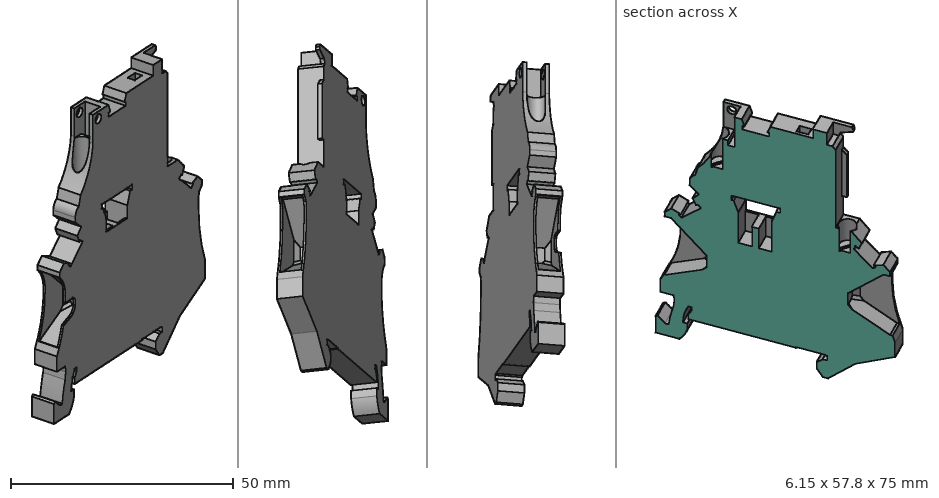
import cadquery as cq

WIDTH = 6.15
HEIGHT = 75.0
LENGTH = 57.8
HALF_WIDTH = WIDTH / 2

BASE_CENTER_Y = 29.4
BASE_TOP_Z = 46.8
RAIL_FACE_Z = 6.75
WINDOW_FLOOR_Z = 40.3
WINDOW_Y_MIN = 20.0
WINDOW_Y_MAX = 28.05
SIDE_WALL = 0.5
CAVITY_WIDTH = WIDTH - 2 * SIDE_WALL
PIT_DEPTH = 6.0
RIB_Y_MIN = 23.25
RIB_Y_MAX = 25.0

LEVER_TOP_Z = 72.3
LEVER_FRONT_Y = 14.9
LEVER_BACK_Y = 43.5
LATCH_BLOCK_Y = 37.95
LATCH_PLATE = 1.0
HINGE_Y = 10.7
HINGE_Z = 49.1
HINGE_RADIUS = 2.55

WELL_RADIUS = 2.1
SCREW_SLOT_WIDTH = 0.7
SCREW_SLOT_DEPTH = 0.4
SCREW_SLOT_ANGLE = -45
LEVER_WELL_Y = 14.85
LEVER_WELL_FLOOR_Z = 55.5
BASE_WELL_Y = 45.7

EAR_POINTS = [
    (18.0, BASE_TOP_Z), (20.5, 44.1), (19.65, 42.15), (19.3, 42.45), (18.45, 41.8), (23.1, 37.35),
    (23.8, 38.1), (23.25, 38.3), (25.6, 39.3), (27.2, 37.65), (27.2, 36.4), (26.2, 35.1),
]


def side_plane():
    """Workplane whose local axes are Y and Z."""
    return cq.Workplane("YZ")


def plate(outline, width=WIDTH):
    """Closed side outline extruded symmetrically about the middle of the thickness."""
    return outline.close().extrude(width / 2, both=True)


def block(x_range, y_range, z_range):
    """Box between the given limits."""
    (x0, x1), (y0, y1), (z0, z1) = x_range, y_range, z_range
    return cq.Workplane("XY").box(x1 - x0, y1 - y0, z1 - z0, centered=False).translate((x0, y0, z0))


def base_body():
    far_ear = [(BASE_CENTER_Y + d, z) for d, z in EAR_POINTS]
    near_ear = [(BASE_CENTER_Y - d, z) for d, z in reversed(EAR_POINTS)]
    outline = (
        side_plane().polyline(far_ear)
        .lineTo(55.3, 34.05)
        .lineTo(55.3, 30.75)
        .threePointArc((56.1, 23.1), (LENGTH, 16.65))
        .lineTo(LENGTH, 12.0)
        .lineTo(48.2, 6.7)
        .lineTo(41.6, 0)
        .lineTo(40.35, 0)
        .lineTo(38.85, 2.2)
        .lineTo(38.85, 4.1)
        .lineTo(40.35, 5.55)
        .lineTo(41.3, 5.55)
        .lineTo(41.3, RAIL_FACE_Z)
        .lineTo(40.7, 7.0)
        .lineTo(33.9, 7.0)
        .lineTo(33.9, RAIL_FACE_Z)
        .lineTo(7.9, RAIL_FACE_Z)
        .lineTo(7.9, 8.3)
        .lineTo(8.7, 9.75)
        .lineTo(8.7, 10.65)
        .lineTo(7.95, 10.65)
        .threePointArc((7.05, 8.3), (6.7, 5.5))
        .lineTo(7.7, 5.5)
        .lineTo(7.7, 3.7)
        .threePointArc((7.0, 1.65), (5.8, 0))
        .lineTo(0, 0)
        .lineTo(0, 5.1)
        .lineTo(0.5, 5.5)
        .lineTo(2.3, 3.8)
        .threePointArc((2.8, 3.7), (3.15, 3.8))
        .threePointArc((3.6, 6.6), (4.3, 9.45))
        .lineTo(4.5, 11.4)
        .lineTo(4.35, 12.8)
        .lineTo(1.1, 12.8)
        .lineTo(1.1, 16.7)
        .threePointArc((3.7, 23.6), (4.35, 30.75))
        .threePointArc((4.05, 33.2), near_ear[0])
        .polyline(near_ear, includeCurrent=False)
        .lineTo(18.9, BASE_TOP_Z)
        .lineTo(WINDOW_Y_MIN, 43.6)
        .lineTo(WINDOW_Y_MIN, WINDOW_FLOOR_Z)
        .lineTo(WINDOW_Y_MAX, WINDOW_FLOOR_Z)
        .lineTo(WINDOW_Y_MAX, 43.6)
        .lineTo(29.1, BASE_TOP_Z)
    )
    return plate(outline)


def window_pits():
    """Two pits in the window floor, separated by a rib."""
    x_range = (-CAVITY_WIDTH / 2, CAVITY_WIDTH / 2)
    z_range = (WINDOW_FLOOR_Z - PIT_DEPTH, WINDOW_FLOOR_Z)
    near_pit = block(x_range, (WINDOW_Y_MIN, RIB_Y_MIN), z_range)
    far_pit = block(x_range, (RIB_Y_MAX, WINDOW_Y_MAX), z_range)
    return near_pit.union(far_pit)


def wire_funnel():
    """Wire entry in the near flank: sloped roof and floor, and side walls closing in at the end."""
    end_y = 12.5
    taper_y = end_y - 1.4
    end_half_width = 1.5
    cavity_half = CAVITY_WIDTH / 2
    mouth_y = -0.75
    corner_bevel = 0.6
    wedge = plate(
        side_plane().polyline([
            (mouth_y, 36.2), (3.75, 36.2), (end_y, 27.45), (end_y, 23.8), (2.2, 18.45), (mouth_y, 18.45),
        ]),
        CAVITY_WIDTH,
    )
    plan = (
        cq.Workplane("XY")
        .polyline([
            (-cavity_half, mouth_y), (cavity_half, mouth_y), (cavity_half, taper_y),
            (end_half_width, end_y), (-end_half_width, end_y), (-cavity_half, taper_y),
        ])
        .close()
        .extrude(BASE_TOP_Z)
    )
    funnel = wedge.intersect(plan)
    corner_zone = cq.selectors.BoxSelector(
        (-cavity_half, taper_y, 22.5), (cavity_half, end_y, 24.0), boundingbox=False
    )
    return funnel.edges(corner_zone).chamfer(corner_bevel)


def flank_notch():
    """Notch in the edge of the +X side wall beside the near wire funnel."""
    notch = (
        side_plane().workplane(offset=CAVITY_WIDTH / 2)
        .moveTo(0, 28.95)
        .lineTo(7.5, 28.95)
        .lineTo(8.1, 28.35)
        .lineTo(8.1, 26.55)
        .threePointArc((7.35, 25.1), (6.1, 24.4))
        .lineTo(3.5, 23.4)
        .lineTo(0, 23.4)
        .close()
    )
    return notch.extrude(SIDE_WALL)


def hinge_knuckle():
    knuckle = side_plane().center(HINGE_Y, HINGE_Z).circle(HINGE_RADIUS).extrude(HALF_WIDTH, both=True)
    front_y = HINGE_Y - HINGE_RADIUS
    heel_back_y = 12.0
    heel = plate(side_plane().polyline([
        (heel_back_y, HINGE_Z), (front_y, HINGE_Z), (front_y, 47.75), (10.4, 45.75), (heel_back_y, 45.75),
    ]))
    return knuckle.union(heel)


def lever_body():
    outline = (
        side_plane().moveTo(HINGE_Y, BASE_TOP_Z)
        .lineTo(18.4, BASE_TOP_Z)
        .lineTo(18.4, 48.0)
        .lineTo(30.0, 48.0)
        .lineTo(30.0, BASE_TOP_Z)
        .lineTo(LEVER_BACK_Y, BASE_TOP_Z)
        .lineTo(LEVER_BACK_Y, 53.15)
        .lineTo(44.7, 53.15)
        .lineTo(44.7, 66.05)
        .lineTo(LEVER_BACK_Y, 67.3)
        .lineTo(LEVER_BACK_Y, 70.5)
        .lineTo(42.75, 71.4)
        .lineTo(43.3, 72.4)
        .lineTo(46.2, 73.6)
        .lineTo(46.2, 74.3)
        .lineTo(45.9, HEIGHT)
        .lineTo(LATCH_BLOCK_Y, HEIGHT)
        .lineTo(LATCH_BLOCK_Y, LEVER_TOP_Z)
        .lineTo(27.7, LEVER_TOP_Z)
        .lineTo(27.0, 70.3)
        .lineTo(27.4, 70.1)
        .lineTo(27.4, 69.2)
        .lineTo(21.0, 69.2)
        .lineTo(21.0, 70.1)
        .lineTo(21.5, 70.3)
        .lineTo(20.85, LEVER_TOP_Z)
        .lineTo(LEVER_FRONT_Y, LEVER_TOP_Z)
        .lineTo(LEVER_FRONT_Y, 65.2)
        .threePointArc((13.35, 58.85), (10.2, 53.9))
        .lineTo(9.45, 51.1)
        .lineTo(9.45, HINGE_Z)
    )
    return plate(outline)


def latch_relief():
    """Space beside the latch arm and back edge, which are only a thin plate on the -X side."""
    x_range = (-HALF_WIDTH + LATCH_PLATE, HALF_WIDTH)
    beyond_y = LENGTH
    beside_arm = block(x_range, (41.4, beyond_y), (71.4, HEIGHT))
    beside_back = block(x_range, (LEVER_BACK_Y, beyond_y), (BASE_TOP_Z, HEIGHT))
    return beside_arm.union(beside_back)


def top_socket():
    """Small rectangular test socket in the lever top."""
    depth = 3.75
    return block((-1.0, 1.0), (33.75, 36.6), (LEVER_TOP_Z - depth, LEVER_TOP_Z))


def screw_well(center_y, floor_z, top_z):
    """Round well whose floor is a screw head with a diagonal driver slot."""
    well = (
        cq.Workplane("XY", origin=(0, center_y, floor_z))
        .circle(WELL_RADIUS)
        .extrude(top_z - floor_z)
    )
    driver_slot = (
        cq.Workplane("XY", origin=(0, center_y, floor_z))
        .transformed(rotate=(0, 0, SCREW_SLOT_ANGLE))
        .rect(2 * WELL_RADIUS, SCREW_SLOT_WIDTH)
        .extrude(-SCREW_SLOT_DEPTH)
    )
    head = cq.Workplane("XY", origin=(0, center_y, floor_z)).circle(WELL_RADIUS).extrude(-SCREW_SLOT_DEPTH)
    return well.union(driver_slot.intersect(head))


def lever_mouth():
    """Open pocket above the lever screw, with a deeper groove along its back wall."""
    ledge_z = 64.7
    back_y = 19.05
    groove_y = 17.55
    groove_depth = 1.5
    x_range = (-WELL_RADIUS, WELL_RADIUS)
    pocket = block(x_range, (LEVER_FRONT_Y - WELL_RADIUS, back_y), (ledge_z, LEVER_TOP_Z))
    groove = block(x_range, (groove_y, back_y), (ledge_z - groove_depth, ledge_z))
    return pocket.union(groove)


def cross_hole():
    """Round hole through the lever walls near the top front corner."""
    return side_plane().center(16.95, 70.4).circle(1.1).extrude(HALF_WIDTH, both=True)


near_funnel = wire_funnel()
far_funnel = near_funnel.mirror("XZ").translate((0, 2 * BASE_CENTER_Y, 0))

base = (
    base_body()
    .cut(window_pits())
    .cut(near_funnel)
    .cut(far_funnel)
    .cut(flank_notch())
    .cut(screw_well(BASE_WELL_Y, WINDOW_FLOOR_Z, BASE_TOP_Z))
)
lever = (
    lever_body()
    .cut(latch_relief())
    .cut(top_socket())
    .cut(lever_mouth())
    .cut(screw_well(LEVER_WELL_Y, LEVER_WELL_FLOOR_Z, LEVER_TOP_Z))
    .cut(cross_hole())
)
result = base.union(lever).union(hinge_knuckle())